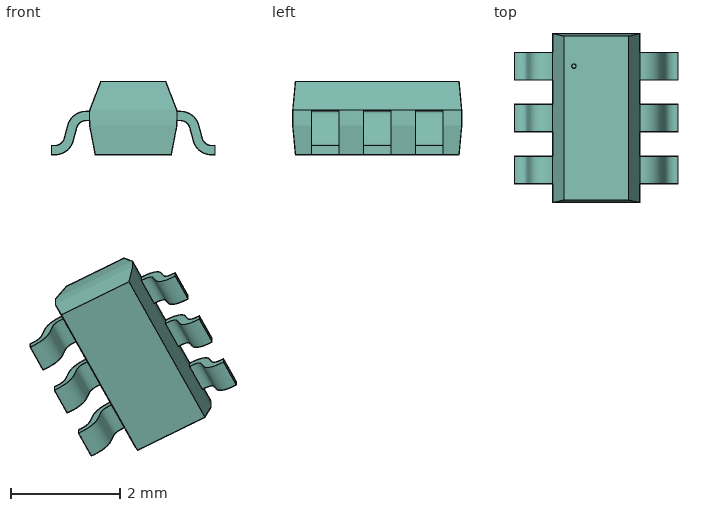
import cadquery as cq
import math

body_length = 3.1
body_width = 1.6
body_height = 1.35
band_height = 0.288
taper_height = (body_height - band_height) / 2
top_width = 1.19
bottom_width = 1.395
end_length = 3.0

lead_span = 3.0
lead_width = 0.508
lead_thickness = 0.175
lead_top = 0.8
lead_pitch = 0.952
leads_per_side = 3
bend_angle = math.radians(75)
bend_radius = 1.5 * lead_thickness

marker_diameter = 0.08
marker_depth = 0.03
marker_inset = 0.185
marker_x = marker_inset - top_width / 2
marker_y = lead_pitch


def tapered_half(face_z, face_width, band_z):
    """Frustum between an outer face and the band."""
    return (
        cq.Workplane("XY", origin=(0, 0, face_z))
        .rect(face_width, end_length)
        .workplane(offset=band_z - face_z)
        .rect(body_width, body_length)
        .loft(ruled=True)
    )


def make_marker():
    """Flush disc that marks pin 1."""
    return (
        cq.Workplane("XY", origin=(marker_x, marker_y, body_height - marker_depth))
        .circle(marker_diameter / 2)
        .extrude(marker_depth)
    )


def make_body():
    """Moulded body with a recess for the marker."""
    band_bottom = taper_height
    band_top = band_bottom + band_height
    band = cq.Workplane("XY", origin=(0, 0, band_bottom)).rect(body_width, body_length).extrude(band_height)
    lower_half = tapered_half(0, bottom_width, band_bottom)
    upper_half = tapered_half(body_height, top_width, band_top)
    return band.union(lower_half).union(upper_half).cut(make_marker())


def make_lead(lead_y, turn):
    """Lead bent in an S from the -X side wall to its foot, then turned about Z by an angle in degrees."""
    start_x = -body_width / 2
    tip_x = -lead_span / 2
    start_z = lead_top - lead_thickness / 2
    foot_z = lead_thickness / 2

    bend_run = bend_radius * math.sin(bend_angle)
    bend_drop = bend_radius * (1 - math.cos(bend_angle))
    leg_drop = start_z - foot_z - 2 * bend_drop
    leg_run = leg_drop / math.tan(bend_angle)
    flat_length = (start_x - tip_x - 2 * bend_run - leg_run) / 2

    upper_bend_x = start_x - flat_length
    leg_top = (upper_bend_x - bend_run, start_z - bend_drop)
    leg_bottom = (leg_top[0] - leg_run, leg_top[1] - leg_drop)
    centre_line = (
        cq.Workplane("XZ", origin=(0, lead_y, 0))
        .moveTo(start_x, start_z)
        .lineTo(upper_bend_x, start_z)
        .tangentArcPoint(leg_top, relative=False)
        .lineTo(*leg_bottom)
        .tangentArcPoint((tip_x + flat_length, foot_z), relative=False)
        .lineTo(tip_x, foot_z)
    )
    lead = (
        cq.Workplane("YZ", origin=(start_x, lead_y, start_z))
        .rect(lead_width, lead_thickness)
        .sweep(centre_line)
    )
    return lead.rotate((0, 0, 0), (0, 0, 1), turn)


body = make_body()
marker = make_marker()

leads = []
for turn in (0, 180):
    for i in range(leads_per_side):
        lead_y = (i - (leads_per_side - 1) / 2) * lead_pitch
        leads.append(make_lead(lead_y, turn).val())

result = cq.Compound.makeCompound([body.solids().val(), marker.val(), *leads])